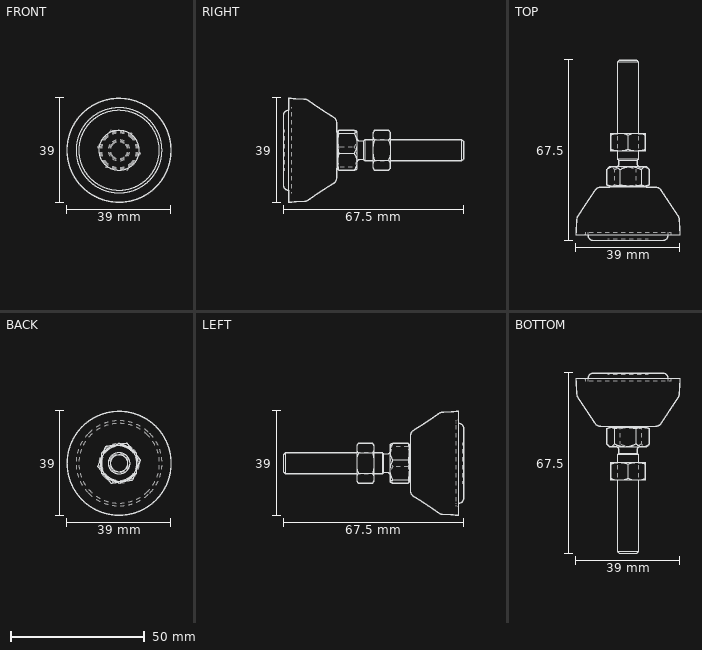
import cadquery as cq
import math

OVERALL_HEIGHT = 67.5

ROD_RADIUS = 4.0
ROD_TIP_CHAMFER = 0.8
ROD_SHOULDER_CHAMFER = 0.5
NECK_RADIUS = ROD_RADIUS - ROD_SHOULDER_CHAMFER
NECK_FILLET = 1.0
NECK_LENGTH = 2.4
DRIVE_HEX_FLATS = 14.0
DRIVE_HEX_TURN = 8.5
DRIVE_HEX_HEIGHT = 7.2
DRIVE_HEX_TOP_ANGLE = 45.0
DRIVE_HEX_BOTTOM_ANGLE = 20.0
COLLAR_RADIUS = 6.8
COLLAR_HEIGHT = 0.4

NUT_FLATS = 13.0
NUT_TURN = 90.0
NUT_HEIGHT = 6.5
NUT_BOTTOM_Y = 33.5
NUT_TOP_BEVEL_RADIUS = 6.75
NUT_TOP_ANGLE = 40.0
NUT_BOTTOM_ANGLE = 30.0

BASE_BOTTOM_Y = 2.0
BASE_TOP_Y = 20.0
BASE_RADIUS = 19.5
BASE_RIM_HEIGHT = 0.5
BASE_SHOULDER_RADIUS = 19.15
BASE_SHOULDER_Y = 8.6
BASE_TOP_RADIUS = 11.6
BASE_FILLET = 2.5
SOCKET_RADIUS = 16.0
SOCKET_DEPTH = 1.0
SOCKET_MOUTH_FILLET = 0.5

PAD_RADIUS = 15.0
PAD_FILLET = 2.0
PAD_THICKNESS = BASE_BOTTOM_Y + SOCKET_DEPTH
PAD_RECESS_RADIUS = 7.5
PAD_RECESS_DEPTH = 0.5

DRIVE_HEX_BOTTOM_Y = BASE_TOP_Y + COLLAR_HEIGHT
DRIVE_HEX_TOP_Y = DRIVE_HEX_BOTTOM_Y + DRIVE_HEX_HEIGHT
NECK_TOP_Y = DRIVE_HEX_TOP_Y + NECK_LENGTH


def plane_at(y):
    """Workplane facing +Y at the given height, with local x along X and local y along -Z."""
    return cq.Workplane(cq.Plane(origin=(0, y, 0), xDir=(1, 0, 0), normal=(0, 1, 0)))


def cylinder(radius, bottom_y, top_y):
    return plane_at(bottom_y).circle(radius).extrude(top_y - bottom_y)


def revolve_about_y(profile):
    """Full revolve of a closed (radius, height) profile about the Y axis."""
    return profile.revolve(360, (0, 0, 0), (0, 1, 0))


def bevelled_hex(flats, turn, bottom_y, height, bottom_bevel, top_bevel):
    """Hexagonal prism with conical bevels, each given as (end-face radius, angle to the end face)."""
    corner_radius = flats / 2 / math.cos(math.radians(30))
    top_y = bottom_y + height
    bottom_radius, bottom_angle = bottom_bevel
    top_radius, top_angle = top_bevel
    bottom_drop = (corner_radius - bottom_radius) * math.tan(math.radians(bottom_angle))
    top_drop = (corner_radius - top_radius) * math.tan(math.radians(top_angle))
    prism = (
        plane_at(bottom_y)
        .transformed(rotate=(0, 0, turn))
        .polygon(6, 2 * corner_radius)
        .extrude(height)
    )
    envelope = revolve_about_y(
        cq.Workplane("XY")
        .moveTo(0, bottom_y)
        .lineTo(bottom_radius, bottom_y)
        .lineTo(corner_radius, bottom_y + bottom_drop)
        .lineTo(corner_radius, top_y - top_drop)
        .lineTo(top_radius, top_y)
        .lineTo(0, top_y)
        .close()
    )
    return prism.intersect(envelope)


def make_spindle():
    collar = cylinder(COLLAR_RADIUS, BASE_TOP_Y, DRIVE_HEX_BOTTOM_Y)
    drive_hex = bevelled_hex(
        DRIVE_HEX_FLATS,
        DRIVE_HEX_TURN,
        DRIVE_HEX_BOTTOM_Y,
        DRIVE_HEX_HEIGHT,
        (DRIVE_HEX_FLATS / 2, DRIVE_HEX_BOTTOM_ANGLE),
        (DRIVE_HEX_FLATS / 2, DRIVE_HEX_TOP_ANGLE),
    )
    fillet_middle = NECK_FILLET * (1 - math.sqrt(0.5))
    rod = revolve_about_y(
        cq.Workplane("XY")
        .moveTo(0, DRIVE_HEX_TOP_Y)
        .lineTo(NECK_RADIUS + NECK_FILLET, DRIVE_HEX_TOP_Y)
        .threePointArc(
            (NECK_RADIUS + fillet_middle, DRIVE_HEX_TOP_Y + fillet_middle),
            (NECK_RADIUS, DRIVE_HEX_TOP_Y + NECK_FILLET),
        )
        .lineTo(NECK_RADIUS, NECK_TOP_Y)
        .lineTo(ROD_RADIUS, NECK_TOP_Y + ROD_SHOULDER_CHAMFER)
        .lineTo(ROD_RADIUS, OVERALL_HEIGHT - ROD_TIP_CHAMFER)
        .lineTo(ROD_RADIUS - ROD_TIP_CHAMFER, OVERALL_HEIGHT)
        .lineTo(0, OVERALL_HEIGHT)
        .close()
    )
    return collar.union(drive_hex).union(rod)


def make_lock_nut():
    nut_body = bevelled_hex(
        NUT_FLATS,
        NUT_TURN,
        NUT_BOTTOM_Y,
        NUT_HEIGHT,
        (NUT_FLATS / 2, NUT_BOTTOM_ANGLE),
        (NUT_TOP_BEVEL_RADIUS, NUT_TOP_ANGLE),
    )
    return nut_body.cut(cylinder(ROD_RADIUS, NUT_BOTTOM_Y, NUT_BOTTOM_Y + NUT_HEIGHT))


def make_base():
    bell = revolve_about_y(
        cq.Workplane("XY")
        .moveTo(0, BASE_BOTTOM_Y)
        .lineTo(BASE_RADIUS, BASE_BOTTOM_Y)
        .lineTo(BASE_RADIUS, BASE_BOTTOM_Y + BASE_RIM_HEIGHT)
        .lineTo(BASE_SHOULDER_RADIUS, BASE_SHOULDER_Y)
        .lineTo(BASE_TOP_RADIUS, BASE_TOP_Y)
        .lineTo(0, BASE_TOP_Y)
        .close()
    )
    shoulder_and_top = cq.selectors.BoxSelector(
        (-BASE_RADIUS, BASE_SHOULDER_Y - BASE_RIM_HEIGHT, -BASE_RADIUS),
        (BASE_RADIUS, BASE_TOP_Y + BASE_RIM_HEIGHT, BASE_RADIUS),
    )
    bell = bell.edges("%CIRCLE").edges(shoulder_and_top).fillet(BASE_FILLET)
    bell = bell.cut(cylinder(SOCKET_RADIUS, BASE_BOTTOM_Y, BASE_BOTTOM_Y + SOCKET_DEPTH))
    socket_mouth = cq.selectors.RadiusNthSelector(0)
    return bell.faces("<Y").edges(socket_mouth).fillet(SOCKET_MOUTH_FILLET)


def make_pad():
    foot = cylinder(PAD_RADIUS, 0, PAD_THICKNESS).faces("<Y").edges().fillet(PAD_FILLET)
    return foot.cut(cylinder(PAD_RECESS_RADIUS, 0, PAD_RECESS_DEPTH))


spindle = make_spindle()
lock_nut = make_lock_nut()
base = make_base()
pad = make_pad()

result = cq.Compound.makeCompound([spindle.val(), lock_nut.val(), base.val(), pad.val()])